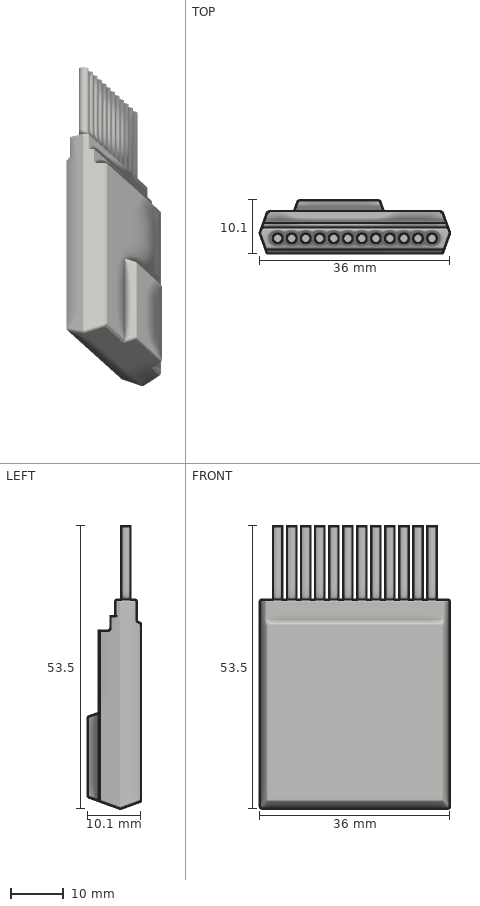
import cadquery as cq
import math

case_width = 36.0
case_top = 39.6
draft_angle = 20.0
front_depth = 3.9
back_depth = 4.15
edge_radius = 0.5
back_bevel = 0.35

neck_front_depth = 3.1
neck_back_depth = 1.0
tier_depth = 1.9
tier_top = case_top - 3.1
back_top = case_top - 5.9
front_step_top = case_top - 3.8
step_radius = 0.55

pad_left = -11.5
pad_right = 5.45
pad_top = 18.15
pad_height = 2.05
pad_embed = 1.05

wire_count = 12
wire_row_length = 29.2
wire_pitch = wire_row_length / (wire_count - 1)
wire_diameter = 1.8
wire_tip = 53.5
wire_y = -1.0
wire_embed = 0.55

ridge_loss = edge_radius * (1 / math.cos(math.radians(draft_angle)) - 1)
sharp_half_width = case_width / 2 + ridge_loss
sharp_bottom = -ridge_loss


def drafted_block(left, right, bottom, top, y_start, y_end):
    """Rectangular block along Y whose four sides lean inwards towards y_end."""
    length = abs(y_end - y_start)
    plane = cq.Plane(
        origin=((left + right) / 2, y_start, (bottom + top) / 2),
        xDir=(1, 0, 0),
        normal=(0, math.copysign(1, y_end - y_start), 0),
    )
    return cq.Workplane(plane).rect(right - left, top - bottom).extrude(length, taper=draft_angle)


def case_side_profile():
    """YZ outline of the case: stepped back, neck and S-curved front step."""
    middle_y = -(front_depth + neck_front_depth) / 2
    arc_sweep = math.acos(1 - (front_depth - neck_front_depth) / (2 * step_radius))
    arc_height = step_radius * math.sin(arc_sweep)
    middle_z = front_step_top - arc_height
    below_case = sharp_bottom - edge_radius
    return (
        cq.Workplane("YZ")
        .moveTo(-front_depth, below_case)
        .lineTo(-front_depth, middle_z - arc_height)
        .radiusArc((middle_y, middle_z), step_radius)
        .radiusArc((-neck_front_depth, front_step_top), -step_radius)
        .lineTo(-neck_front_depth, case_top)
        .lineTo(neck_back_depth, case_top)
        .lineTo(neck_back_depth, tier_top)
        .lineTo(tier_depth, tier_top)
        .lineTo(tier_depth, back_top + edge_radius)
        .radiusArc((tier_depth + edge_radius, back_top), -edge_radius)
        .lineTo(back_depth, back_top)
        .lineTo(back_depth, below_case)
        .close()
        .extrude(case_width, both=True)
    )


def make_case():
    overshoot = case_top + 2 * back_depth
    outline = (-sharp_half_width, sharp_half_width, sharp_bottom, overshoot)
    front_half = drafted_block(*outline, 0, -front_depth)
    back_half = drafted_block(*outline, 0, back_depth)
    return front_half.union(back_half).intersect(case_side_profile())


def finish_edges(case):
    """Bevel the back face, then round the rim, ridge, front face and lower corners."""
    beveled = case.faces(">Y").edges("not >Z").chamfer(back_bevel)

    def is_low(edge):
        return edge.Center().z < back_depth

    def is_ahead_of_tier(edge):
        return edge.Center().y < (neck_back_depth + tier_depth) / 2

    lower_corners = beveled.edges("not (|X or |Z)").filter(is_low).vals()
    lower_lines = beveled.edges("|X").filter(is_low).filter(is_ahead_of_tier).vals()
    uprights = beveled.edges("|Z").filter(is_ahead_of_tier).vals()
    rim = beveled.faces(">Z").edges().vals()
    return beveled.newObject(lower_corners + lower_lines + uprights + rim).fillet(edge_radius)


def make_pad():
    """Drafted pad whose underside continues the sloping bottom of the case."""
    slope = math.tan(math.radians(draft_angle))
    root_y = back_depth - pad_embed
    spread = pad_embed * slope
    return (
        drafted_block(
            pad_left - spread,
            pad_right + spread,
            sharp_bottom + root_y * slope,
            pad_top + spread,
            root_y,
            back_depth + pad_height,
        )
        .edges("not <Y")
        .fillet(edge_radius)
    )


def make_wires():
    return (
        cq.Workplane("XY", origin=(0, wire_y, case_top - wire_embed))
        .rarray(wire_pitch, 0.55, wire_count, 1)
        .circle(wire_diameter / 2)
        .extrude(wire_tip - case_top + wire_embed)
    )


result = finish_edges(make_case()).union(make_pad()).union(make_wires())